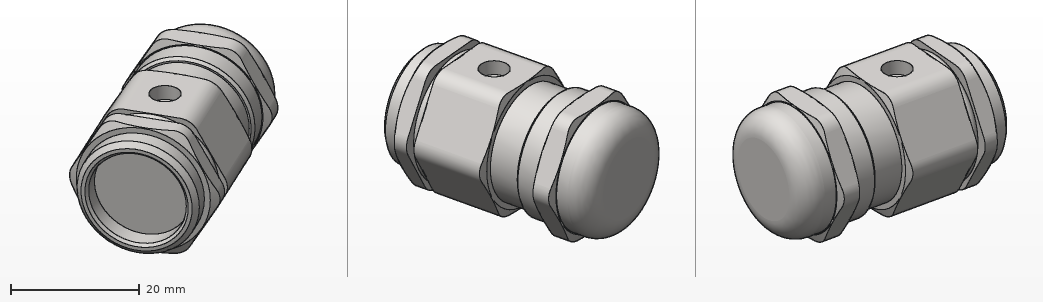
import cadquery as cq
import math

length = 40.35
thread_chamfer_length = 0.85
locknut_start = 3.45
locknut_end = 6.55
body_start = 8.0
body_end = 21.0
cap_start = 26.35
cap_chamfer = 0.5
cap_hex_start = 30.4
cap_hex_end = 34.25
dome_radius = 3.95

thread_diameter = 20.0
thread_tip_diameter = 18.2
cap_diameter = 21.6
across_flats = 22.2
hex_corner_radius = 3.23
seal_diameter = across_flats
seal_round = 1.0

trim_diameter = 21.95
locknut_trim_depth = 0.75
hex_trim_depth = 0.45

bore_diameter = 16.0
bore_mouth_diameter = 16.9
bore_depth = 3.45
mouth_depth = 0.5
side_hole_diameter = 5.0
side_hole_depth = 2.5
side_hole_y = 14.53

across_corners = across_flats / math.cos(math.pi / 6)
corner_round_loss = hex_corner_radius * (1 / math.cos(math.pi / 6) - 1)
corner_reach = across_corners / 2 - corner_round_loss


def disc(diameter, start, end):
    """Cylinder about the Y axis between two stations."""
    return cq.Workplane("XZ", origin=(0, start, 0)).circle(diameter / 2).extrude(start - end)


def hexagon(start, end, start_trim, end_trim):
    """Rounded hexagon with its corners coned off to the given depth at each end."""
    prism = (
        cq.Workplane("XZ", origin=(0, start, 0))
        .polygon(6, across_corners)
        .extrude(start - end)
        .edges("|Y")
        .fillet(hex_corner_radius)
    )
    start_radius = trim_diameter / 2 if start_trim else corner_reach
    outline = cq.Workplane("XY").moveTo(0, start).lineTo(start_radius, start)
    if start_trim:
        outline = outline.lineTo(corner_reach, start + start_trim)
    outline = outline.lineTo(corner_reach, end - end_trim)
    if end_trim:
        outline = outline.lineTo(trim_diameter / 2, end)
    envelope = outline.lineTo(0, end).close().revolve(360, (0, 0, 0), (0, 1, 0))
    return prism.intersect(envelope)


def make_core():
    """Threaded end and neck running into the cap."""
    core = disc(thread_diameter, 0, cap_start + cap_chamfer)
    tip_step = (thread_diameter - thread_tip_diameter) / 2
    return core.faces("<Y").chamfer(thread_chamfer_length, tip_step)


def make_cap():
    """Domed cap with a chamfered lower edge."""
    cap = disc(cap_diameter, cap_start, length)
    return cap.faces(">Y").edges().fillet(dome_radius).faces("<Y").chamfer(cap_chamfer)


def make_seal():
    """Sealing ring with a half-round rim, sunk partly into the body face."""
    shoulder = seal_diameter / 2 - seal_round
    back = locknut_end + 2 * seal_round
    return (
        cq.Workplane("XY")
        .moveTo(0, locknut_end)
        .lineTo(shoulder, locknut_end)
        .threePointArc((seal_diameter / 2, locknut_end + seal_round), (shoulder, back))
        .lineTo(0, back)
        .close()
        .revolve(360, (0, 0, 0), (0, 1, 0))
    )


def make_bore():
    """Blind bore with a countersunk mouth."""
    mouth = (
        cq.Workplane("XY")
        .lineTo(bore_mouth_diameter / 2, 0)
        .lineTo(bore_diameter / 2, mouth_depth)
        .lineTo(0, mouth_depth)
        .close()
        .revolve(360, (0, 0, 0), (0, 1, 0))
    )
    return disc(bore_diameter, 0, bore_depth).union(mouth)


def make_side_hole():
    """Blind round hole in the upper flat of the body."""
    top_flat = cq.Workplane("XY", origin=(0, side_hole_y, across_flats / 2))
    return top_flat.circle(side_hole_diameter / 2).extrude(-side_hole_depth)


result = (
    make_core()
    .union(make_cap())
    .union(make_seal())
    .union(hexagon(locknut_start, locknut_end, locknut_trim_depth, 0))
    .union(hexagon(body_start, body_end, 0, hex_trim_depth))
    .union(hexagon(cap_hex_start, cap_hex_end, hex_trim_depth, hex_trim_depth))
    .cut(make_bore())
    .cut(make_side_hole())
)